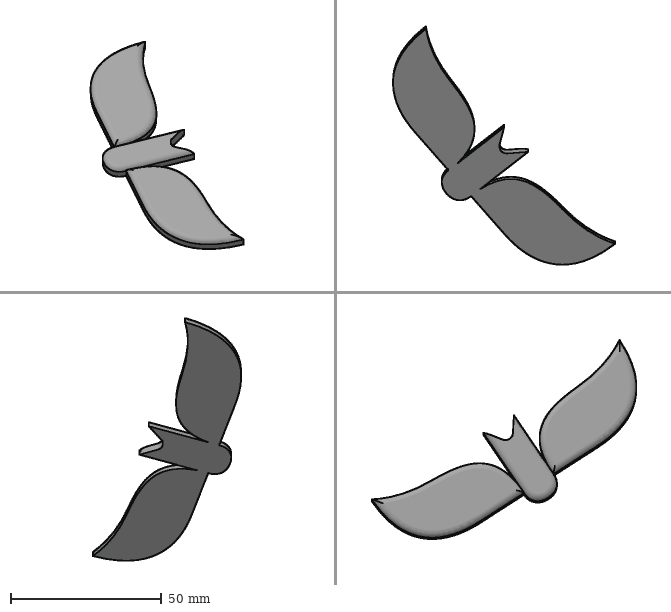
import cadquery as cq
import math

thickness = 3.8
wall_height = 2.4
rim_width = 2.1
rim_drop = thickness - wall_height

rim_radius = (rim_width**2 + rim_drop**2) / (2 * rim_drop)
rim_overhang = rim_radius - rim_width

body_half_width = 5.9
nose_depth = 5.7
nose_side_pull = 3.7
nose_front_pull = 3.6
tail_left = 24.7
tail_right = 24.1
notch_apex = 16.1
notch_radius = 2.5

wing_tip = (-49.5, 26.2)
wing_root_x = -5.7
wing_crest = (-29.2, 20.6)
wing_belly_x = -23.4

root_pull = 16.8
crest_slope = 0.045
crest_inner_pull = 14.3
crest_outer_pull = 6.4
tip_slope = 0.6
tip_front_pull = 6.9
tip_side_pull = 19.3
belly_pull = 15.0
quarter_circle_handle = 4 / 3 * (math.sqrt(2) - 1)


def round_rim(outline):
    """Plate whose upper rim is an arc that meets the wall at an angle.

    The arc is a fillet on a slightly grown plate, trimmed back to the true outline.
    """
    plate = outline(0).extrude(thickness)
    grown = outline(rim_overhang).extrude(thickness)
    return grown.faces(">Z").edges().fillet(rim_radius).intersect(plate)


def body_outline(growth):
    """Straight sides with a blunt, curved nose; the tail runs on past the notch."""
    half = body_half_width + growth
    tail_end = tail_left + 2 * rim_radius
    nose = (0, -nose_depth - growth)
    side_pull = -nose_side_pull - growth
    return (
        cq.Workplane("XY")
        .moveTo(-half, tail_end)
        .lineTo(-half, 0)
        .bezier([(-half, 0), (-half, side_pull), (-nose_front_pull, nose[1]), nose])
        .bezier([nose, (nose_front_pull, nose[1]), (half, side_pull), (half, 0)])
        .lineTo(half, tail_end)
        .close()
    )


def tail_notch():
    """Rounded V that trims the body's tail."""
    reach = 2.0
    left_rise = reach * (tail_left - notch_apex)
    right_rise = reach * (tail_right - notch_apex)
    side = reach * body_half_width
    return (
        cq.Workplane("XY")
        .moveTo(0, notch_apex)
        .lineTo(side, notch_apex + right_rise)
        .lineTo(-side, notch_apex + left_rise)
        .close()
        .extrude(thickness)
        .edges("|Z")
        .edges("<Y")
        .fillet(notch_radius)
    )


def wing_outline(growth):
    """Left wing: S-shaped front edge, straight rear edge and a swept outer curve."""
    handle_growth = quarter_circle_handle * growth
    root_x = wing_root_x + growth
    root = (root_x, -growth)
    belly = (wing_belly_x, -growth)
    crest = (wing_crest[0], wing_crest[1] + growth)
    crest_inner = (crest[0] + crest_inner_pull, crest[1] - crest_slope * crest_inner_pull)
    crest_outer = (crest[0] - crest_outer_pull, crest[1] + crest_slope * crest_outer_pull)

    tip_miter = math.hypot(1, tip_slope) + tip_slope
    tip = (wing_tip[0] - growth, wing_tip[1] + growth * tip_miter)
    tip_front = (tip[0] + tip_front_pull, tip[1] - tip_slope * tip_front_pull)
    tip_side = (tip[0], wing_tip[1] - tip_side_pull - handle_growth)
    belly_outer = (belly[0] - belly_pull - handle_growth, belly[1])
    root_front = (root_x, root_pull + handle_growth)
    return (
        cq.Workplane("XY")
        .moveTo(*root)
        .bezier([root, root_front, crest_inner, crest])
        .bezier([crest, crest_outer, tip_front, tip])
        .bezier([tip, tip_side, belly_outer, belly])
        .close()
    )


body = round_rim(body_outline).cut(tail_notch())
left_wing = round_rim(wing_outline)
right_wing = left_wing.mirror("YZ")

result = body.union(left_wing).union(right_wing)